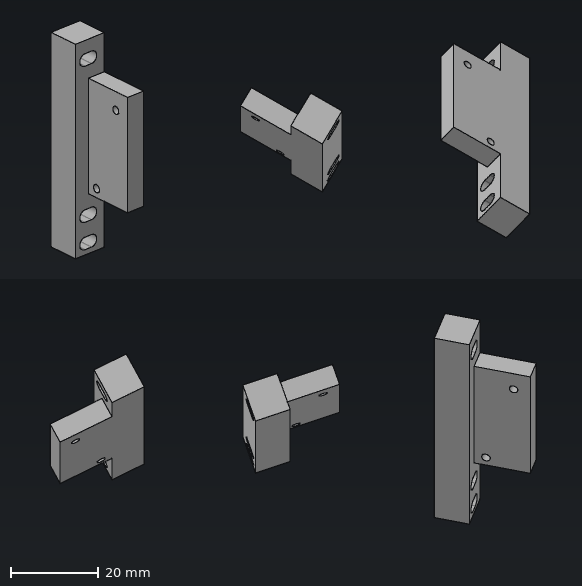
import cadquery as cq


BAR_WIDTH = 8.39
BAR_DEPTH = 9.0
BAR_HEIGHT = 55.0

PLATE_WIDTH = 13.4
PLATE_THICKNESS = 5.0
PLATE_HEIGHT = 29.6
PLATE_TOP_SETBACK = 10.0
PLATE_RIGHT = BAR_WIDTH + PLATE_WIDTH
PLATE_BOTTOM = BAR_HEIGHT - PLATE_TOP_SETBACK - PLATE_HEIGHT

SLOT_WIDTH = 3.2
SLOT_LENGTH = 5.2
SLOT_CENTER_Y = -5.0
SLOT_HEIGHTS = (3.0, 10.0, 50.0)

HOLE_DIAMETER = 2.0
UPPER_HOLE_X = PLATE_RIGHT - 4.0
UPPER_HOLE_Z = 40.23
HOLE_SPACING_X = 6.6
HOLE_SPACING_Z = 22.5
HOLE_CENTERS = (
    (UPPER_HOLE_X, UPPER_HOLE_Z),
    (UPPER_HOLE_X - HOLE_SPACING_X, UPPER_HOLE_Z - HOLE_SPACING_Z),
)


def make_bar():
    bar = cq.Workplane("XY").box(BAR_WIDTH, BAR_DEPTH, BAR_HEIGHT, centered=False)
    return bar.translate((0, -BAR_DEPTH, 0))


def make_plate():
    plate = cq.Workplane("XY").box(PLATE_WIDTH, PLATE_THICKNESS, PLATE_HEIGHT, centered=False)
    return plate.translate((BAR_WIDTH, -PLATE_THICKNESS, PLATE_BOTTOM))


def make_slots():
    centers = [(SLOT_CENTER_Y, height) for height in SLOT_HEIGHTS]
    return cq.Workplane("YZ").pushPoints(centers).slot2D(SLOT_LENGTH, SLOT_WIDTH).extrude(BAR_WIDTH)


def make_holes():
    holes = cq.Workplane("XZ").pushPoints(HOLE_CENTERS).circle(HOLE_DIAMETER / 2)
    return holes.extrude(PLATE_THICKNESS)


result = make_bar().union(make_plate()).cut(make_slots()).cut(make_holes())